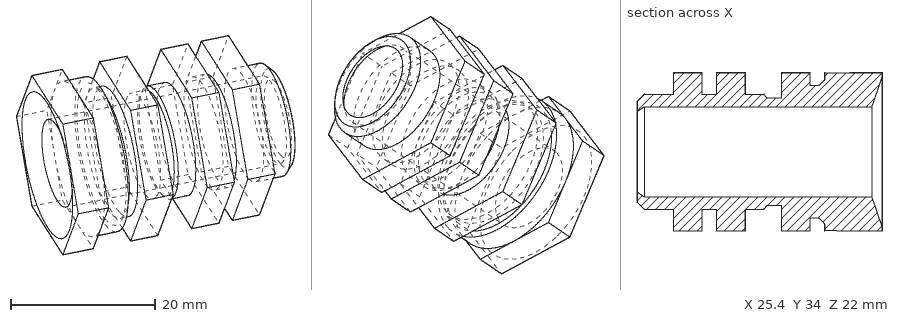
import cadquery as cq
import math

length = 34.0
across_flats = 22.0
hex_corner_diameter = across_flats / math.cos(math.radians(30))

head_end = 4.5
collar_end = 8.0
seal_end = 8.77
neck_end = 10.0
groove_start = 14.0
groove_end = 16.0
thread_start = 16.42
thread_chamfer = 1.0

body_hex_thickness = groove_start - neck_end
nut_thickness = 4.0
lock_nut_starts = (19.0, 25.0)

collar_radius = across_flats / 2
seal_radius = 10.05
neck_radius = 9.25
groove_radius = 7.5
thread_radius = 8.02

mouth_radius = 10.4
mouth_depth = 1.43
bore_radius = 6.22
exit_radius = 5.58
exit_taper_length = 1.0


def revolve_about_y(profile):
    """Revolve an (X, Y) profile a full turn about the Y axis."""
    return cq.Workplane("XY").polyline(profile).close().revolve(360, (0, 0, 0), (0, 1, 0))


def hex_prism(start, thickness):
    """Hexagon with corners on +X and -X, running along +Y from start."""
    plane = cq.Workplane(cq.Plane((0, start, 0), xDir=(1, 0, 0), normal=(0, 1, 0)))
    return plane.polygon(6, hex_corner_diameter).extrude(thickness)


turned_body = revolve_about_y([
    (0, 0),
    (collar_radius, 0),
    (collar_radius, collar_end),
    (seal_radius, collar_end),
    (neck_radius, seal_end),
    (neck_radius, groove_start),
    (groove_radius, groove_start),
    (groove_radius, groove_end),
    (thread_radius, thread_start),
    (thread_radius, length - thread_chamfer),
    (thread_radius - thread_chamfer, length),
    (0, length),
])

passage = revolve_about_y([
    (0, 0),
    (mouth_radius, 0),
    (bore_radius, mouth_depth),
    (bore_radius, length - exit_taper_length),
    (exit_radius, length),
    (0, length),
])

result = turned_body.union(hex_prism(0, head_end))
result = result.union(hex_prism(neck_end, body_hex_thickness))
for nut_start in lock_nut_starts:
    result = result.union(hex_prism(nut_start, nut_thickness))
result = result.cut(passage)